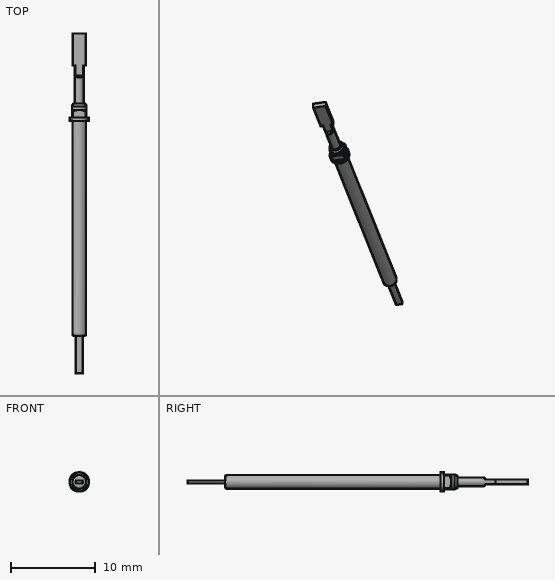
import cadquery as cq

total_length = 40.2
blade_end = 3.8
ramp_start = 5.0
stem_end = 8.3
nose_end = 8.65
flare_start = 9.05
flange_start = 9.93
flange_end = 10.35
tube_end = 35.78

blade_diameter = 1.6
blade_thickness = 0.6
stem_diameter = 1.1
nose_diameter = 1.35
collar_diameter = 1.75
flange_diameter = 2.3
tube_diameter = 1.65
tail_width = 0.85
tail_thickness = 0.38

flare_length = 0.15
tube_fillet = 0.3


def axial(station):
    """Y position of a station, with the part centred on the origin."""
    return total_length / 2 - station


def rod(start, end, diameter):
    """Round bar about the Y axis between two stations."""
    length = end - start
    return cq.Workplane("XZ", origin=(0, axial(start), 0)).circle(diameter / 2).extrude(length)


def slab(start, end, width, thickness):
    """Rectangular bar centred on the Y axis between two stations."""
    middle = axial((start + end) / 2)
    return cq.Workplane("XY").box(width, end - start, thickness).translate((0, middle, 0))


def make_blade():
    """Round contact end cut down to a blade by two parallel flats."""
    blank = rod(0, blade_end, blade_diameter)
    return blank.intersect(slab(0, blade_end, blade_diameter, blade_thickness))


def make_stem():
    """Round stem whose blade end is thinned, with 45-degree ramps up to full size."""
    stem_radius = stem_diameter / 2
    half_thickness = blade_thickness / 2
    ramp_end = ramp_start + stem_radius - half_thickness
    upper_profile = [
        (axial(blade_end), half_thickness),
        (axial(ramp_start), half_thickness),
        (axial(ramp_end), stem_radius),
        (axial(stem_end), stem_radius),
    ]
    lower_profile = [(y, -z) for y, z in reversed(upper_profile)]
    envelope = (
        cq.Workplane("YZ")
        .polyline(upper_profile + lower_profile)
        .close()
        .extrude(stem_radius, both=True)
    )
    return rod(blade_end, stem_end, stem_diameter).intersect(envelope)


def make_collar():
    """Collar with a tapered nose, flaring into a square with rounded corners."""
    collar_radius = collar_diameter / 2
    flange_radius = flange_diameter / 2
    nose_length = nose_end - stem_end
    nose = rod(stem_end, flange_start, collar_diameter)
    nose = nose.faces(">Y").edges().chamfer(nose_length, collar_radius - nose_diameter / 2)
    flare_profile = [
        (0, axial(flare_start)),
        (collar_radius, axial(flare_start)),
        (flange_radius, axial(flare_start + flare_length)),
        (flange_radius, axial(flange_start)),
        (0, axial(flange_start)),
    ]
    flare = cq.Workplane("XY").polyline(flare_profile).close().revolve(360, (0, 0, 0), (0, 1, 0))
    square = slab(flare_start, flange_start, collar_diameter, collar_diameter)
    return nose.union(flare.intersect(square))


def make_tube():
    """Flange and long barrel with a rounded far end."""
    barrel = rod(flange_start, tube_end, tube_diameter).faces("<Y").edges().fillet(tube_fillet)
    return barrel.union(rod(flange_start, flange_end, flange_diameter))


def make_tail():
    """Flat pin with fully rounded sides."""
    return (
        cq.Workplane("XZ", origin=(0, axial(tube_end), 0))
        .slot2D(tail_width, tail_thickness)
        .extrude(total_length - tube_end)
    )


result = make_tube().union(make_collar()).union(make_stem()).union(make_blade()).union(make_tail())